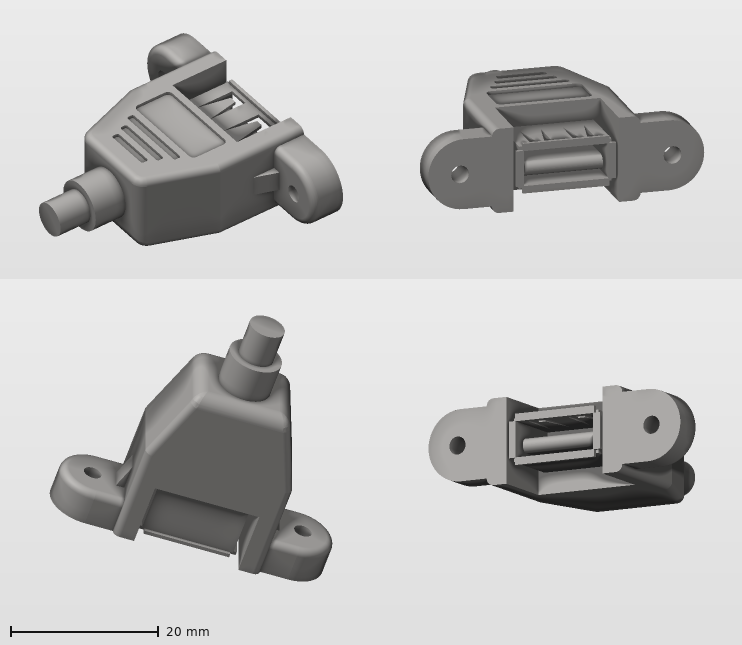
import cadquery as cq


housing_length = 25.0
housing_height = 12.0
straight_length = 14.0
rear_half_width = 6.5
front_half_width = 10.5
edge_radius = 1.0
corner_radius = 2.0
half_height = housing_height / 2

overall_width = 39.0
ear_radius = 5.0
ear_thickness = 5.0
ear_hole_x = 15.0
ear_hole_diameter = 2.5

rib_outer_x = 11.7
rib_end = 8.5
rib_height = 3.05

relief_diameter = 7.5
relief_end = 30.0
cable_diameter = 5.0
cable_end = 35.0

opening_half_width = 7.45
opening_depth = 9.0

shell_width = 13.03
shell_height = 6.0
shell_wall = 0.5
lip_thickness = 0.5
lip_overhang = 0.55
lip_top_width = 12.25
lip_side_height = 5.07

tongue_width = 11.0
tongue_thickness = 2.03
tongue_top_z = 0.4
tongue_start = 1.1
tongue_radius = 0.98

window_x = 3.05
window_width = 3.05
window_start = tongue_start
window_end = 7.05
spring_start = tongue_start + tongue_radius
spring_tip_width = 1.05

recess_depth = 0.5
label_width = 13.57
label_length = 5.95
label_center = 13.03
label_radius = 0.78
bar_widths = (11.08, 8.7, 7.02)
bar_length = 1.1
bar_pitch = 2.0
first_bar_center = 17.55
bar_radius = 0.3


def block(width, y_back, y_front, z_low, z_high):
    """Box centred on x = 0 between the given y and z limits."""
    return (
        cq.Workplane("XY")
        .box(width, y_front - y_back, z_high - z_low, centered=(True, False, False))
        .translate((0, y_back, z_low))
    )


def rod(diameter, end):
    """Round bar along -Y from inside the housing to the given distance."""
    start = straight_length
    return cq.Workplane("XZ", origin=(0, -start, 0)).circle(diameter / 2).extrude(end - start)


def make_housing():
    """Tapered housing with rounded rims and the opening for the socket."""
    outline = [
        (front_half_width, 0),
        (front_half_width, -straight_length),
        (rear_half_width, -housing_length),
        (-rear_half_width, -housing_length),
        (-front_half_width, -straight_length),
        (-front_half_width, 0),
    ]
    body = (
        cq.Workplane("XY", origin=(0, 0, -half_height)).polyline(outline).close()
        .extrude(housing_height)
        .edges("|Z and <Y").fillet(corner_radius)
    )
    envelope = (
        block(2 * front_half_width, -housing_length, 0, -half_height, half_height)
        .edges("<Y and <Z").fillet(corner_radius)
    )
    body = body.intersect(envelope)
    body = body.faces(">Z").edges("not >Y").fillet(edge_radius)
    body = body.faces("<Z").edges("not |X").fillet(edge_radius)
    opening = block(2 * opening_half_width, -opening_depth, 0, -half_height, half_height)
    return body.cut(opening)


def make_ear(side):
    """Drilled ear with its rib, on the +X side (side = 1) or the -X side (side = -1)."""
    center_x = overall_width / 2 - ear_radius
    inner_x = (front_half_width + opening_half_width) / 2
    ear = (
        cq.Workplane("XZ")
        .moveTo(inner_x, -ear_radius).lineTo(center_x, -ear_radius)
        .threePointArc((overall_width / 2, 0), (center_x, ear_radius))
        .lineTo(inner_x, ear_radius).close()
        .extrude(ear_thickness)
    )
    ear = ear.faces("<Y").edges("not <X").fillet(edge_radius)
    hole = (
        cq.Workplane("XZ").center(ear_hole_x, 0).circle(ear_hole_diameter / 2)
        .extrude(ear_thickness)
    )
    rib = (
        cq.Workplane("XY", origin=(0, 0, -rib_height / 2))
        .polyline([
            (inner_x, -ear_thickness),
            (rib_outer_x, -ear_thickness),
            (front_half_width, -rib_end),
            (inner_x, -rib_end),
        ])
        .close().extrude(rib_height)
    )
    ear = ear.cut(hole).union(rib)
    return ear if side > 0 else ear.mirror("YZ")


def make_window(center_x):
    """Rectangular window with a tapered spring left standing in it."""
    z_low = shell_height / 2 - shell_wall
    spring = (
        cq.Workplane("XY", origin=(center_x, 0, z_low))
        .polyline([
            (-window_width / 2, -window_end),
            (window_width / 2, -window_end),
            (spring_tip_width / 2, -spring_start),
            (-spring_tip_width / 2, -spring_start),
        ])
        .close().extrude(shell_wall)
    )
    window = block(window_width, -window_end, -window_start, z_low, shell_height / 2)
    return window.translate((center_x, 0, 0)).cut(spring)


def make_socket():
    """Shell with a flared lip, contact tongue and spring windows."""
    z_shell = shell_height / 2
    z_cavity = z_shell - shell_wall
    z_lip = z_shell + lip_overhang
    shell = block(shell_width, -opening_depth, -lip_thickness, -z_shell, z_shell)
    top_lip = block(lip_top_width, -lip_thickness, 0, -z_lip, z_lip)
    side_lip_width = shell_width + 2 * lip_overhang
    side_lip = block(side_lip_width, -lip_thickness, 0, -lip_side_height / 2, lip_side_height / 2)
    cavity = block(shell_width - 2 * shell_wall, -opening_depth, 0, -z_cavity, z_cavity)
    tongue_bottom_z = tongue_top_z - tongue_thickness
    tongue = (
        block(tongue_width, -opening_depth, -tongue_start, tongue_bottom_z, tongue_top_z)
        .edges("|X and >Y").fillet(tongue_radius)
    )
    socket = shell.union(top_lip).union(side_lip).cut(cavity).union(tongue)
    for side in (-1, 1):
        socket = socket.cut(make_window(side * window_x))
    return socket


def make_recess(width, length, center, radius):
    """Round-cornered recess in the top face, centred at the given distance behind the mating face."""
    y_back = -center - length / 2
    recess = block(width, y_back, y_back + length, half_height - recess_depth, half_height)
    return recess.edges("|Z").fillet(radius)


result = make_housing().union(make_socket())
for side in (-1, 1):
    result = result.union(make_ear(side))
result = result.union(rod(relief_diameter, relief_end)).union(rod(cable_diameter, cable_end))
result = result.cut(make_recess(label_width, label_length, label_center, label_radius))
for index, bar_width in enumerate(bar_widths):
    bar_center = first_bar_center + index * bar_pitch
    result = result.cut(make_recess(bar_width, bar_length, bar_center, bar_radius))